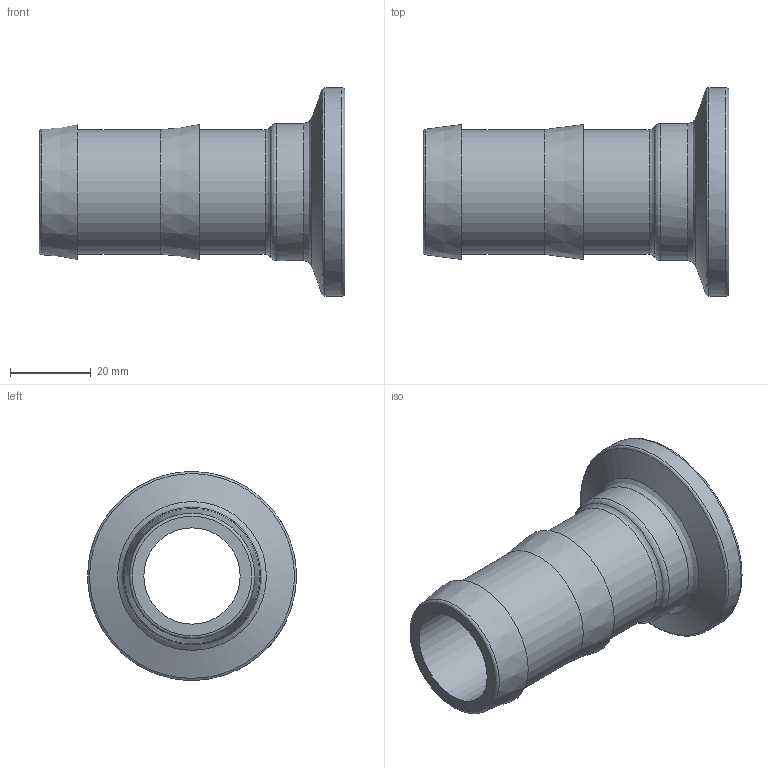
import cadquery as cq
import math

overall_length = 75.95
bore_radius = 23.88 / 2
tube_radius = 30.99 / 2
collar_radius = 34.04 / 2
flange_radius = 51.82 / 2

barb_radius = 16.76
barb_length = 9.6
barb_starts = [0, 30.2]

step_start = 56.1
step_length = 2.8

rim_width = 5.5
cone_angle = math.radians(20)
cone_root_fillet = 2.2
edge_fillet = 0.76

rim_start = overall_length - rim_width
cone_start = rim_start - (flange_radius - collar_radius) * math.tan(cone_angle)


def revolve_about_x(outline):
    return outline.close().revolve(360, (0, 0, 0), (1, 0, 0))


def make_tube_and_flange():
    """Solid tube, collar and flange, with sharp edges on the flange."""
    step_height = collar_radius - tube_radius
    step_middle = (step_start + step_length / 2, tube_radius + step_height / 2)
    step_end = (step_start + step_length, collar_radius)
    outline = (
        cq.Workplane("XY")
        .lineTo(0, tube_radius)
        .lineTo(step_start, tube_radius)
        .tangentArcPoint(step_middle, relative=False)
        .tangentArcPoint(step_end, relative=False)
        .lineTo(cone_start, collar_radius)
        .lineTo(rim_start, flange_radius)
        .lineTo(overall_length, flange_radius)
        .lineTo(overall_length, 0)
    )
    return revolve_about_x(outline)


def make_barb(start):
    """Solid cone that widens from the tube radius to the barb radius."""
    end = start + barb_length
    outline = (
        cq.Workplane("XY")
        .moveTo(start, 0)
        .lineTo(start, tube_radius)
        .lineTo(end, barb_radius)
        .lineTo(end, 0)
    )
    return revolve_about_x(outline)


def edges_at(x, radius):
    """Selector for the circular edge of one radius at one X position."""
    reach = 0.01
    return cq.selectors.BoxSelector(
        (x - reach, -radius - reach, -radius - reach),
        (x + reach, radius + reach, radius + reach),
        boundingbox=True,
    )


body = make_tube_and_flange()
for barb_start in barb_starts:
    body = body.union(make_barb(barb_start))

body = body.edges(edges_at(cone_start, collar_radius)).fillet(cone_root_fillet)
for edge_x, edge_radius in [
    (rim_start, flange_radius),
    (overall_length, flange_radius),
    (0, tube_radius),
]:
    body = body.edges(edges_at(edge_x, edge_radius)).fillet(edge_fillet)

bore = cq.Workplane("YZ").circle(bore_radius).extrude(overall_length)
result = body.cut(bore)